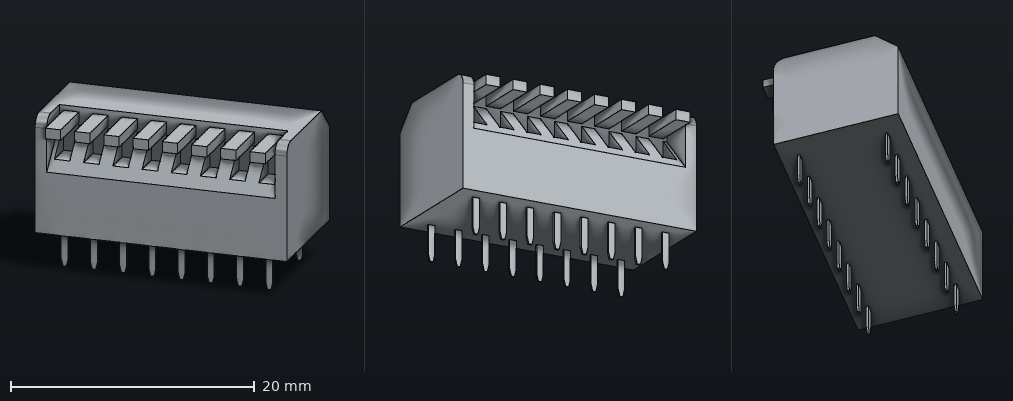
import cadquery as cq


length = 21.88
depth = 10.8
height = 10.22
rear_chamfer = 2.01
front_radius = 1.0

end_wall = 1.03
recess_depth = 3.22
ramp_top_drop = 1.6

switch_count = 8
pitch = 2.54

lever_width = 1.33
lever_height = 0.92
lever_drop = 0.45
lever_overhang = 1.4
lever_embed = 0.44
slot_floor_drop = 3.94

pin_width = 0.61
pin_tip_width = 0.3
pin_thickness = 0.2
pin_length = 3.17
pin_taper = 0.61
pin_embed = 0.44
row_spacing = 7.61

front = -depth / 2
recess_back = front + recess_depth
ramp_top = height - ramp_top_drop
ramp_bottom = ramp_top - recess_depth
slot_floor = height - slot_floor_drop
lever_top = height - lever_drop
switch_xs = [(i - (switch_count - 1) / 2) * pitch for i in range(switch_count)]


def box_between(x_range, y_range, z_range):
    """Box spanning the given (low, high) range on each axis."""
    sizes = [high - low for low, high in (x_range, y_range, z_range)]
    corner = (x_range[0], y_range[0], z_range[0])
    return cq.Workplane("XY").box(*sizes, centered=False).translate(corner)


def lever_span(x):
    """X range shared by a lever and its slot."""
    return (x - lever_width / 2, x + lever_width / 2)


def make_housing():
    """Block with a chamfered rear edge and a rounded front edge on top."""
    block = cq.Workplane("XY").box(length, depth, height, centered=(True, True, False))
    block = block.edges(">Y and >Z").chamfer(rear_chamfer)
    return block.edges("<Y and >Z").fillet(front_radius)


def make_recess():
    """Cutter between the end walls, with the ramp as its sloping floor."""
    recess_length = length - 2 * end_wall
    return (
        cq.Workplane("YZ")
        .moveTo(front, ramp_bottom)
        .lineTo(recess_back, ramp_top)
        .lineTo(recess_back, height)
        .lineTo(front, height)
        .close()
        .extrude(recess_length / 2, both=True)
    )


def make_slot(x):
    """Cutter with a level floor, open through the ramp; flush with the back wall."""
    slot_front = front + slot_floor - ramp_bottom
    return box_between(lever_span(x), (slot_front, recess_back), (slot_floor, ramp_top))


def make_lever(x):
    """Straight bar rooted in the back wall and overhanging the front face."""
    y_range = (front - lever_overhang, recess_back + lever_embed)
    return box_between(lever_span(x), y_range, (lever_top - lever_height, lever_top))


def make_pin(x, y):
    """Flat pin rooted in the underside and narrowing to its tip."""
    half_width = pin_width / 2
    half_tip = pin_tip_width / 2
    taper_start = pin_taper - pin_length
    outline = [
        (-half_width, pin_embed),
        (-half_width, taper_start),
        (-half_tip, -pin_length),
        (half_tip, -pin_length),
        (half_width, taper_start),
        (half_width, pin_embed),
    ]
    pin = cq.Workplane("XZ").polyline(outline).close().extrude(pin_thickness / 2, both=True)
    return pin.translate((x, y, 0))


result = make_housing().cut(make_recess())
for switch_x in switch_xs:
    result = result.cut(make_slot(switch_x))
    result = result.union(make_lever(switch_x))
    for pin_y in (-row_spacing / 2, row_spacing / 2):
        result = result.union(make_pin(switch_x, pin_y))